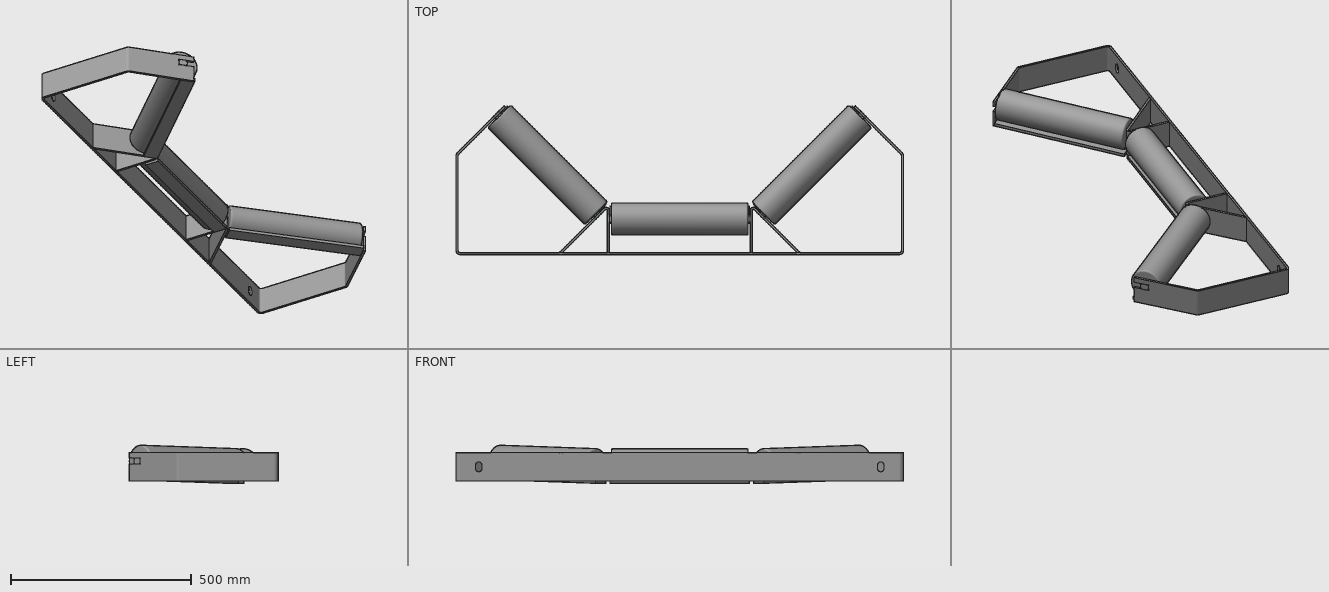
import cadquery as cq
import math


frame_length = 1240.0
strip_height = 79.0
strip_thickness = 6.0
half_thickness = strip_thickness / 2
frame_bend_radius = 9.3
bracket_bend_radius = 6.0

roller_length = 380.0
roller_radius = 45.0
roller_rim_fillet = 5.0
support_spacing = 389.0
shaft_radius = 12.0
shaft_flat_height = 17.0

bar_back = 36.0
bar_front = -4.0
bar_top = -43.0
bar_bottom = -52.0
bar_end_clearance = 1.5

trough_angle = 45.0
tilt_angle = 1.45
center_roller_y = 99.0
center_roller_z = 46.0
wing_roller_x = 366.0
wing_roller_y = 249.0
wing_rise = support_spacing / 2 * math.tan(math.radians(tilt_angle))
wing_roller_z = center_roller_z + wing_rise

tab_tip_y = 413.0

mount_slot_x = 557.0
mount_slot_height = 27.0
mount_slot_width = 19.0

cos_trough = math.cos(math.radians(trough_angle))
tan_trough = math.tan(math.radians(trough_angle))


def wing_plate_y(x, offset):
    """Y of the left inclined plate plane at x, offset along the wing roller from its middle."""
    return wing_roller_y + (x + wing_roller_x) * tan_trough - offset / cos_trough


def folded_strip(points, bend_radius):
    """Upright strip whose mid-thickness line follows the points, rounded at each bend."""
    vectors = [cq.Vector(x, y, 0) for x, y in points]
    path = cq.Wire.makePolygon(vectors)
    bends = [v for v in path.Vertices() if (v.Center() - vectors[0]).Length > half_thickness
             and (v.Center() - vectors[-1]).Length > half_thickness]
    path = path.fillet2D(bend_radius, bends)
    direction = vectors[1] - vectors[0]
    start = cq.Plane(origin=vectors[0].toTuple(), xDir=(0, 0, 1), normal=direction.toTuple())
    section = cq.Workplane(start).center(strip_height / 2, 0).rect(strip_height, strip_thickness)
    return section.sweep(cq.Workplane(path))


def at_center(shape):
    """Move a shape lying along X onto the center roller axis."""
    return shape.translate((0, center_roller_y, center_roller_z))


def at_wing(shape, side):
    """Turn and move a shape lying along X onto the left (-1) or right (+1) wing."""
    turned = shape.rotate((0, 0, 0), (0, 1, 0), -side * tilt_angle)
    turned = turned.rotate((0, 0, 0), (0, 0, 1), side * trough_angle)
    return turned.translate((side * wing_roller_x, wing_roller_y, wing_roller_z))


def shaft_slots():
    """Two square-ended cutters, open towards the plate edge, one per shaft end."""
    slot_reach = 2 * roller_radius
    cutter_length = 3 * strip_thickness
    first = support_spacing / 2 - half_thickness
    slot = (
        cq.Workplane("YZ").workplane(offset=first)
        .center(slot_reach / 2 - shaft_radius, 0)
        .rect(slot_reach, shaft_flat_height)
        .extrude(cutter_length)
    )
    return slot.union(slot.mirror("YZ"))


def make_roller():
    """Roller along X with its shaft and the flat bar below it."""
    tube = cq.Workplane("YZ").circle(roller_radius).extrude(roller_length / 2, both=True)
    tube = tube.faces("<X or >X").edges().fillet(roller_rim_fillet)
    shaft_length = support_spacing + 2 * strip_thickness
    shaft = cq.Workplane("YZ").circle(shaft_radius).extrude(shaft_length / 2, both=True)
    flats = cq.Workplane("XY").box(shaft_length, 2 * shaft_radius, shaft_flat_height)
    bar_length = support_spacing - 2 * bar_end_clearance
    bar = cq.Workplane("XY").box(
        bar_length, bar_back - bar_front, bar_top - bar_bottom, centered=(True, False, False)
    ).translate((0, bar_front, bar_bottom))
    return tube.union(shaft.intersect(flats)).union(bar)


def make_frame():
    """Front wall, two side walls and two inclined tabs, folded from one strip."""
    side_x = frame_length / 2 - half_thickness
    tab_offset = -(support_spacing / 2 + half_thickness)
    fold_y = wing_plate_y(-side_x, tab_offset)
    tab_end_y = tab_tip_y - half_thickness * cos_trough
    tab_end_x = side_x - (tab_end_y - fold_y) / tan_trough
    left = [(-tab_end_x, tab_end_y), (-side_x, fold_y), (-side_x, half_thickness)]
    right = [(-x, y) for x, y in reversed(left)]
    frame = folded_strip(left + right, frame_bend_radius)
    for x in (-mount_slot_x, mount_slot_x):
        slot = (
            cq.Workplane("XZ").center(x, strip_height / 2)
            .slot2D(mount_slot_height, mount_slot_width, 90)
            .extrude(-strip_thickness)
        )
        frame = frame.cut(slot)
    for side in (-1, 1):
        frame = frame.cut(at_wing(shaft_slots(), side))
    return frame


def make_bracket(side):
    """V bracket standing on the front wall, one leg along Y and one square to the wing roller."""
    leg_x = -(support_spacing / 2 + half_thickness)
    wing_offset = support_spacing / 2 + half_thickness
    apex = (leg_x, wing_plate_y(leg_x, wing_offset))
    foot_x = leg_x - apex[1] / tan_trough
    bracket = folded_strip([(foot_x, 0), apex, (leg_x, 0)], bracket_bend_radius)
    front_wall = cq.Workplane("XY").box(frame_length, 2 * strip_thickness, 3 * strip_height)
    bracket = bracket.cut(front_wall)
    bracket = bracket.cut(at_center(shaft_slots())).cut(at_wing(shaft_slots(), -1))
    return bracket.mirror("YZ") if side > 0 else bracket


frame = make_frame()
brackets = [make_bracket(side) for side in (-1, 1)]
center_roller = at_center(make_roller())
wing_rollers = [at_wing(make_roller(), side) for side in (-1, 1)]

bodies = [frame, *brackets, center_roller, *wing_rollers]
result = cq.Compound.makeCompound([body.val() for body in bodies])